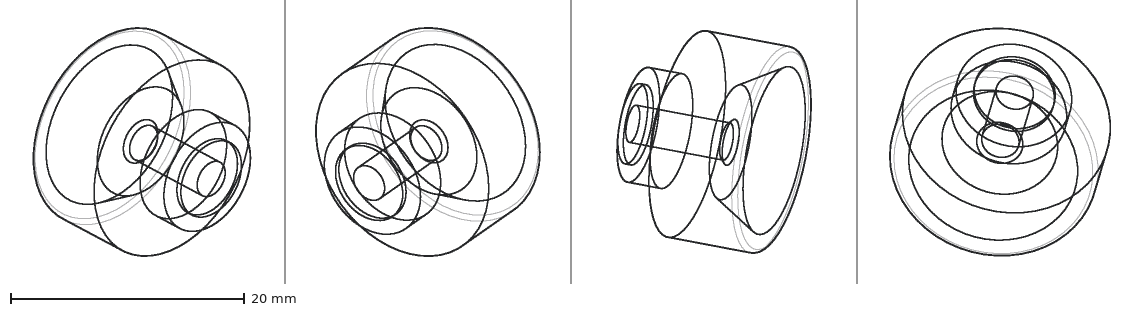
import cadquery as cq
import math

total_length = 13.0

rim_diameter = 18.0
rim_length = 8.0
rim_fillet = 0.4

hub_diameter = 10.0
back_angle = 20.0
back_length = (rim_diameter - hub_diameter) / 2 * math.tan(math.radians(back_angle))

boss_diameter = 7.0
boss_length = 0.5
hub_end = total_length - boss_length

recess_floor_diameter = hub_diameter
recess_depth = 4.0
recess_wall_angle = 30.0
recess_mouth_radius = (
    recess_floor_diameter / 2 + recess_depth * math.tan(math.radians(recess_wall_angle))
)

bore_diameter = 3.24
countersink_diameter = 4.0
countersink_depth = (countersink_diameter - bore_diameter) / 2


def revolve_about_x(profile):
    """Turn a closed (x, radius) profile fully about the X axis."""
    return profile.close().revolve(360, (0, 0, 0), (1, 0, 0))


def make_body():
    """Solid outside shape: rim, conical back, hub and end boss."""
    profile = (
        cq.Workplane("XY")
        .lineTo(0, rim_diameter / 2)
        .lineTo(rim_length, rim_diameter / 2)
        .lineTo(rim_length + back_length, hub_diameter / 2)
        .lineTo(hub_end, hub_diameter / 2)
        .lineTo(hub_end, boss_diameter / 2)
        .lineTo(total_length, boss_diameter / 2)
        .lineTo(total_length, 0)
    )
    return revolve_about_x(profile).faces("<X").edges().fillet(rim_fillet)


def make_cavity():
    """Material removed: recess, countersink and bore."""
    profile = (
        cq.Workplane("XY")
        .lineTo(0, recess_mouth_radius)
        .lineTo(recess_depth, recess_floor_diameter / 2)
        .lineTo(recess_depth, countersink_diameter / 2)
        .lineTo(recess_depth + countersink_depth, bore_diameter / 2)
        .lineTo(total_length, bore_diameter / 2)
        .lineTo(total_length, 0)
    )
    return revolve_about_x(profile)


result = make_body().cut(make_cavity())